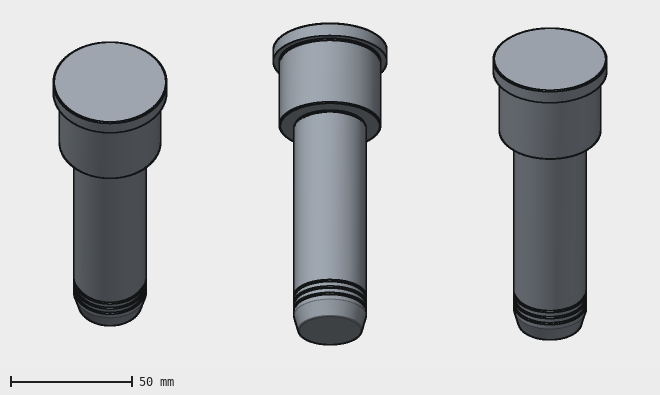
import cadquery as cq
import math

total_length = 131.0
head_diameter = 47.0
shoulder_diameter = 42.0
shaft_diameter = 30.0

head_height = 6.0
shoulder_bottom_depth = 36.0
lead_in_height = 7.0
lead_in_angle = 15.0

head_chamfer = 0.5
shoulder_chamfer = 0.5
tip_fillet = 0.5

head_relief_width = 1.0
head_relief_depth = 0.5
neck_relief_width = 1.0
neck_relief_depth = 0.5

ring_groove_count = 3
ring_groove_width = 1.0
ring_groove_depth = 0.5
ring_groove_pitch = 3.0
lowest_groove_bottom = 9.0

head_bottom = total_length - head_height
shoulder_bottom = total_length - shoulder_bottom_depth
head_radius = head_diameter / 2
shoulder_radius = shoulder_diameter / 2
shaft_radius = shaft_diameter / 2
tip_radius = shaft_radius - lead_in_height * math.tan(math.radians(lead_in_angle))


def cylinder(radius, bottom, top):
    return cq.Workplane("XY").workplane(offset=bottom).circle(radius).extrude(top - bottom)


def vee_ring(radius, depth, bottom, width):
    """Triangular ring to remove, leaving a V groove with its mouth on the cylinder."""
    mouth = [(radius, bottom), (radius - depth, bottom + width / 2), (radius, bottom + width)]
    return cq.Workplane("XZ").polyline(mouth).close().revolve(360, (0, 0), (0, 1))


def make_head():
    return cylinder(head_radius, head_bottom, total_length).faces(">Z").edges().chamfer(head_chamfer)


def make_shoulder():
    body = cylinder(shoulder_radius, shoulder_bottom, head_bottom)
    body = body.faces("<Z").edges().chamfer(shoulder_chamfer)
    relief_bottom = head_bottom - head_relief_width
    return body.cut(vee_ring(shoulder_radius, head_relief_depth, relief_bottom, head_relief_width))


def make_shaft():
    neck_bottom = shoulder_bottom - neck_relief_width
    neck = cylinder(shaft_radius - neck_relief_depth, neck_bottom, shoulder_bottom)
    body = cylinder(shaft_radius, lead_in_height, neck_bottom).union(neck)
    for index in range(ring_groove_count):
        groove_bottom = lowest_groove_bottom + index * ring_groove_pitch
        body = body.cut(vee_ring(shaft_radius, ring_groove_depth, groove_bottom, ring_groove_width))
    return body


def make_lead_in():
    cone = (
        cq.Workplane("XY")
        .circle(tip_radius)
        .workplane(offset=lead_in_height)
        .circle(shaft_radius)
        .loft(ruled=True)
    )
    return cone.faces("<Z").edges().fillet(tip_fillet)


result = make_head().union(make_shoulder()).union(make_shaft()).union(make_lead_in())